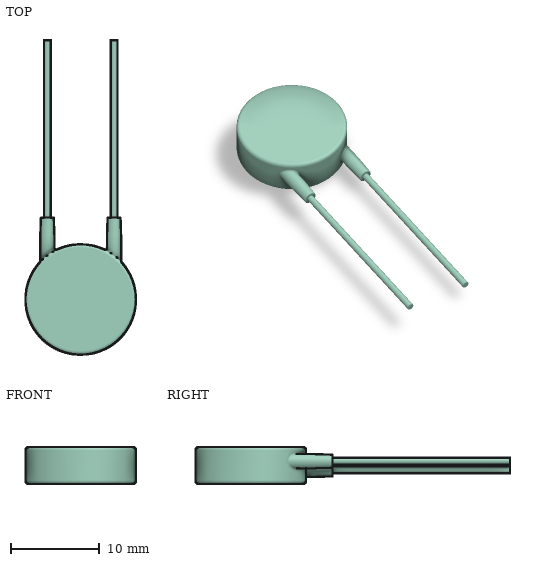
import cadquery as cq

overall_length = 35.5
body_radius = 6.25
body_height = 4.2
body_edge_radius = 0.4

lead_offset_x = 3.75
lead_offset_z = 0.5
wire_radius = 0.4
wire_end_y = overall_length - body_radius

sleeve_radius = 0.8
sleeve_tip_radius = 0.75
sleeve_tip_rounding = 0.1
taper_start_y = 7.1
sleeve_end_y = 9.23
joint_fillet_radius = 0.18


def make_body():
    body = cq.Workplane("XY").cylinder(body_height, body_radius)
    return body.faces("|Z").edges().fillet(body_edge_radius)


def make_lead(x, z):
    """Wire and sleeve turned about an axis parallel to Y, starting inside the body."""
    profile = (
        cq.Workplane("XY")
        .lineTo(sleeve_radius, 0)
        .lineTo(sleeve_radius, taper_start_y)
        .lineTo(sleeve_tip_radius, sleeve_end_y - sleeve_tip_rounding)
        .radiusArc((sleeve_tip_radius - sleeve_tip_rounding, sleeve_end_y), -sleeve_tip_rounding)
        .lineTo(wire_radius, sleeve_end_y)
        .lineTo(wire_radius, wire_end_y)
        .lineTo(0, wire_end_y)
        .close()
    )
    return profile.revolve(360, (0, 0), (0, 1)).translate((x, 0, z))


def is_joint_edge(edge):
    """True for the curved seams where a sleeve enters the side of the body."""
    box = edge.BoundingBox()
    return box.ymax < taper_start_y and box.xlen > wire_radius and box.zlen > wire_radius


result = make_body()
for side in (-1, 1):
    result = result.union(make_lead(side * lead_offset_x, side * lead_offset_z))

joint_edges = [edge for edge in result.edges().vals() if is_joint_edge(edge)]
result = result.newObject(joint_edges).fillet(joint_fillet_radius)